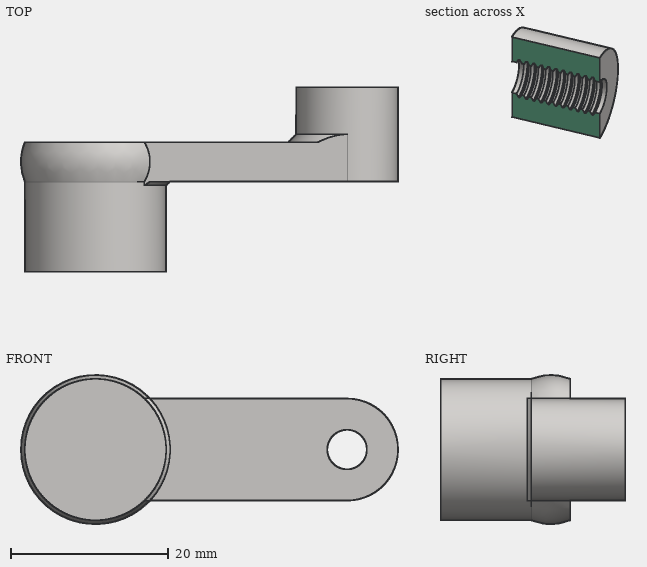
import cadquery as cq
import math

arm_thickness = 5.0
arm_length = 32.0

knob_radius = 18.0 / 2
knob_length = 11.5
collar_bulge = 0.5
knob_chamfer = 0.5

boss_radius = 13.0 / 2
boss_length = 12.0
boss_chamfer = 1.0

thread_minor_radius = 5.0 / 2
thread_major_radius = 6.0 / 2
thread_pitch = 1.0
thread_half_angle = math.radians(30)
thread_root_flat = thread_pitch / 8
groove_count = round(boss_length / thread_pitch) - 1
cutter_overlap = 0.1


def cylinder_along_y(x, radius, y_start, y_end):
    """Cylinder on an axis parallel to Y."""
    return cq.Workplane("XZ", origin=(x, y_start, 0)).circle(radius).extrude(y_start - y_end)


def corner_cone(x, radius, y_face, size):
    """Corner chamfer around a cylinder: widest on y_face, narrowing over the signed size along Y.

    It is kept only where it lies over the arm.
    """
    profile = (
        cq.Workplane("XY", origin=(x, 0, 0))
        .moveTo(0, y_face)
        .lineTo(radius + abs(size), y_face)
        .lineTo(radius, y_face + size)
        .lineTo(0, y_face + size)
        .close()
    )
    cone = profile.revolve(360, (0, 0, 0), (0, 1, 0))
    return cone.intersect(arm_block(-knob_chamfer, arm_thickness + boss_chamfer))


def arm_block(y_start, y_end):
    """Block with the arm's length and width, from the knob axis to the boss axis."""
    block = cq.Workplane("XY", origin=(0, y_start, 0))
    return block.box(arm_length, y_end - y_start, 2 * boss_radius, centered=(False, False, True))


def make_knob():
    """Knob and collar turned as one profile, the collar rim an arc."""
    profile = (
        cq.Workplane("XY")
        .moveTo(0, -knob_length)
        .lineTo(knob_radius, -knob_length)
        .lineTo(knob_radius, 0)
        .threePointArc(
            (knob_radius + collar_bulge, arm_thickness / 2),
            (knob_radius, arm_thickness),
        )
        .lineTo(0, arm_thickness)
        .close()
    )
    knob = profile.revolve(360, (0, 0, 0), (0, 1, 0))
    return knob.union(corner_cone(0, knob_radius, 0, -knob_chamfer))


def make_boss():
    boss = cylinder_along_y(arm_length, boss_radius, 0, boss_length)
    return boss.union(corner_cone(arm_length, boss_radius, arm_thickness, boss_chamfer))


def make_thread_groove(y_center):
    """Ring with a V-shaped section around the boss axis."""
    inner_radius = thread_minor_radius - cutter_overlap
    bottom_half = thread_root_flat / 2
    mouth_half = bottom_half + (thread_major_radius - inner_radius) * math.tan(thread_half_angle)
    profile = (
        cq.Workplane("XY", origin=(arm_length, y_center, 0))
        .moveTo(inner_radius, -mouth_half)
        .lineTo(thread_major_radius, -bottom_half)
        .lineTo(thread_major_radius, bottom_half)
        .lineTo(inner_radius, mouth_half)
        .close()
    )
    return profile.revolve(360, (0, 0, 0), (0, 1, 0))


arm = arm_block(0, arm_thickness)
bore = cylinder_along_y(arm_length, thread_minor_radius, 0, boss_length)

result = arm.union(make_knob()).union(make_boss())
result = result.cut(bore)
for groove in range(1, groove_count + 1):
    result = result.cut(make_thread_groove(groove * thread_pitch))